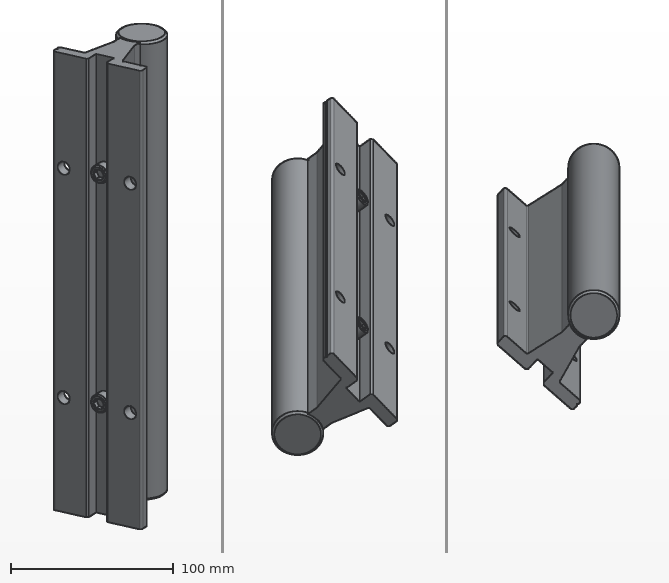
import cadquery as cq

rail_length = 304.8
shaft_diameter = 31.7
shaft_chamfer = 1.5

axis_height = 54.0
base_width = 63.5
flange_thickness = 8.0
base_edge_fillet = 1.5
web_top_width = 14.3
web_foot_width = 26.8
web_foot_fillet = 1.0
neck_height = 32.5

slot_width = 12.8
slot_depth = 9.8
slot_chamfer = 1.2

reference_groove_radius = 0.5
reference_groove_height = 5.0

mount_hole_diameter = 8.5
mount_hole_pitch_x = 47.5
hole_pitch_z = 152.5

screw_head_diameter = 12.0
screw_head_height = 8.0
screw_head_chamfer = 1.0
screw_shank_diameter = 8.0
socket_across_corners = 7.3
socket_depth = 4.0
countersink_angle = 45

shaft_radius = shaft_diameter / 2
mounting_face_y = -axis_height
flange_top_y = mounting_face_y + flange_thickness
neck_y = mounting_face_y + neck_height
slot_floor_y = mounting_face_y + slot_depth
head_top_y = slot_floor_y - screw_head_height
hole_levels = [-hole_pitch_z / 2, hole_pitch_z / 2]


def along_y(x, start_y, z):
    """Workplane at (x, start_y, z) whose extrusions run toward +Y."""
    plane = cq.Plane(origin=(x, start_y, z), xDir=(1, 0, 0), normal=(0, 1, 0))
    return cq.Workplane(plane)


def rail_start():
    """XY workplane at the -Z end of the rail."""
    return cq.Workplane("XY").workplane(offset=-rail_length / 2)


def along_rail(x, y, radius):
    """Round bar parallel to Z over the full rail length."""
    return rail_start().center(x, y).circle(radius).extrude(rail_length)


def screw_shank(z):
    """Shank from the slot floor to the shaft axis; also cuts the matching hole."""
    return along_y(0, slot_floor_y, z).circle(screw_shank_diameter / 2).extrude(-slot_floor_y)


def make_shaft():
    """Round shaft, chamfered at both ends, with a hole for each screw."""
    shaft = along_rail(0, 0, shaft_radius).faces("|Z").chamfer(shaft_chamfer)
    for z in hole_levels:
        shaft = shaft.cut(screw_shank(z))
    return shaft


def support_blank():
    """Extruded base and web, mirrored about the YZ plane, reaching up to the shaft axis."""
    right_half = [
        (0, slot_floor_y),
        (slot_width / 2, slot_floor_y),
        (slot_width / 2, mounting_face_y + slot_chamfer),
        (slot_width / 2 + slot_chamfer, mounting_face_y),
        (base_width / 2, mounting_face_y),
        (base_width / 2, flange_top_y),
        (web_foot_width / 2, flange_top_y),
        (web_top_width / 2, neck_y),
        (web_top_width / 2, 0),
        (0, 0),
    ]
    half = rail_start().polyline(right_half).close().extrude(rail_length)
    blank = half.union(half.mirror("YZ"))
    blank = blank.faces(">X or <X").edges("|Z").fillet(base_edge_fillet)
    for foot_x in (-web_foot_width / 2, web_foot_width / 2):
        foot_corner = cq.selectors.NearestToPointSelector((foot_x, flange_top_y, 0))
        blank = blank.edges("|Z").edges(foot_corner).fillet(web_foot_fillet)
    return blank


def make_support():
    """Flanged support with a cradle for the shaft, a reference groove and its holes."""
    support = support_blank()

    support = support.cut(along_rail(0, 0, shaft_radius))

    groove_y = mounting_face_y + reference_groove_height
    support = support.cut(along_rail(-base_width / 2, groove_y, reference_groove_radius))

    for z in hole_levels:
        support = support.cut(screw_shank(z))
        for x in (-mount_hole_pitch_x / 2, mount_hole_pitch_x / 2):
            hole = along_y(x, mounting_face_y, z).circle(mount_hole_diameter / 2)
            support = support.cut(hole.extrude(flange_thickness))
    return support


def make_screw(z):
    """Socket head screw that clamps the shaft to the support."""
    head = (
        along_y(0, head_top_y, z)
        .circle(screw_head_diameter / 2)
        .extrude(screw_head_height)
        .faces("<Y")
        .chamfer(screw_head_chamfer)
    )

    socket = along_y(0, head_top_y, z).polygon(6, socket_across_corners).extrude(socket_depth)
    countersink = (
        along_y(0, head_top_y, z)
        .circle(socket_across_corners / 2)
        .extrude(socket_depth / 2, taper=countersink_angle)
    )
    return head.cut(socket).cut(countersink).union(screw_shank(z))


shaft = make_shaft()
support = make_support()
screws = [make_screw(z) for z in hole_levels]

result = cq.Compound.makeCompound(
    [body.solids().val() for body in (shaft, support, *screws)]
)